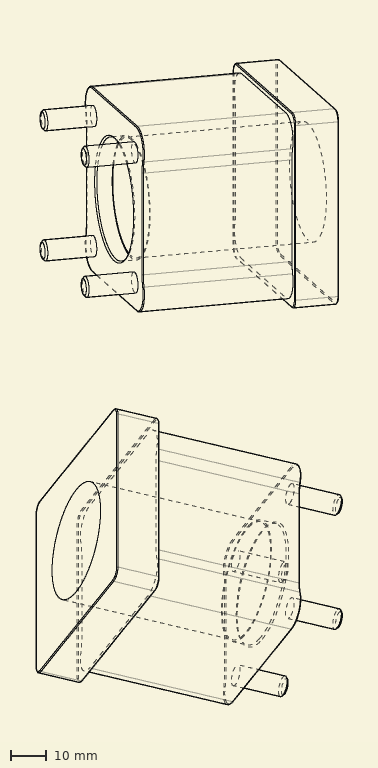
import cadquery as cq
import math

FLANGE_SIDE = 57.0
FLANGE_THICKNESS = 13.0
FLANGE_CORNER_RADIUS = 3.0

BODY_HEIGHT = 54.0
BODY_LENGTH = 44.0
BODY_CORNER_RADIUS = 6.5
SIDE_RECESS = 1.0
RECESS_BLEND_RADIUS = 10.0

EDGE_CHAMFER = 0.3

BORE_DIAMETER = 34.0
COUNTERBORE_DIAMETER = 35.0
COUNTERBORE_DEPTH = 5.0
COUNTERBORE_CHAMFER = 0.5

PIN_DIAMETER = 6.0
PIN_LENGTH = 15.0
PIN_SPACING = 38.0
PIN_CHAMFER = 0.6

BODY_BACK = BODY_LENGTH
FLANGE_BACK = BODY_BACK + FLANGE_THICKNESS


def section_plane(y):
    """Sketch plane facing -Y: local x is X, local y is Z."""
    return cq.Workplane("XZ", origin=(0, y, 0))


def make_flange():
    return (
        section_plane(FLANGE_BACK)
        .rect(FLANGE_SIDE, FLANGE_SIDE)
        .extrude(FLANGE_THICKNESS)
        .edges("|Y")
        .fillet(FLANGE_CORNER_RADIUS)
        .faces("<Y or >Y")
        .chamfer(EDGE_CHAMFER)
    )


def body_outline():
    """Closed outline: round corner lobes blended tangentially into recessed sides."""
    half = BODY_HEIGHT / 2
    side_x = half - SIDE_RECESS
    corner = half - BODY_CORNER_RADIUS

    blend_center_x = side_x + RECESS_BLEND_RADIUS
    center_distance = BODY_CORNER_RADIUS + RECESS_BLEND_RADIUS
    center_offset_x = blend_center_x - corner
    blend_center_z = corner - math.sqrt(center_distance**2 - center_offset_x**2)
    blend_angle = math.acos(center_offset_x / center_distance)

    joint_x = corner + BODY_CORNER_RADIUS * math.cos(blend_angle)
    joint_z = corner - BODY_CORNER_RADIUS * math.sin(blend_angle)
    blend_mid_x = blend_center_x - RECESS_BLEND_RADIUS * math.cos(blend_angle / 2)
    blend_mid_z = blend_center_z + RECESS_BLEND_RADIUS * math.sin(blend_angle / 2)
    corner_mid_angle = (math.pi / 2 - blend_angle) / 2
    corner_mid_x = corner + BODY_CORNER_RADIUS * math.cos(corner_mid_angle)
    corner_mid_z = corner + BODY_CORNER_RADIUS * math.sin(corner_mid_angle)

    return (
        section_plane(BODY_BACK)
        .moveTo(0, half)
        .lineTo(corner, half)
        .threePointArc((corner_mid_x, corner_mid_z), (joint_x, joint_z))
        .threePointArc((blend_mid_x, blend_mid_z), (side_x, blend_center_z))
        .lineTo(side_x, 0)
        .mirrorX()
        .mirrorY()
    )


def make_body():
    return body_outline().extrude(BODY_LENGTH).faces("<Y").chamfer(EDGE_CHAMFER)


def make_bore():
    """Stepped bore as a half profile in the XY plane, turned about the Y axis."""
    bore_radius = BORE_DIAMETER / 2
    counterbore_radius = COUNTERBORE_DIAMETER / 2
    mouth_radius = counterbore_radius + COUNTERBORE_CHAMFER
    return (
        cq.Workplane("XY")
        .moveTo(0, 0)
        .lineTo(mouth_radius, 0)
        .lineTo(counterbore_radius, COUNTERBORE_CHAMFER)
        .lineTo(counterbore_radius, COUNTERBORE_DEPTH)
        .lineTo(bore_radius, COUNTERBORE_DEPTH)
        .lineTo(bore_radius, FLANGE_BACK)
        .lineTo(0, FLANGE_BACK)
        .close()
        .revolve(360, (0, 0, 0), (0, 1, 0))
    )


def make_pins():
    return (
        section_plane(0)
        .rect(PIN_SPACING, PIN_SPACING, forConstruction=True)
        .vertices()
        .circle(PIN_DIAMETER / 2)
        .extrude(PIN_LENGTH)
        .faces("<Y")
        .chamfer(PIN_CHAMFER)
    )


result = make_flange().union(make_body()).cut(make_bore()).union(make_pins())